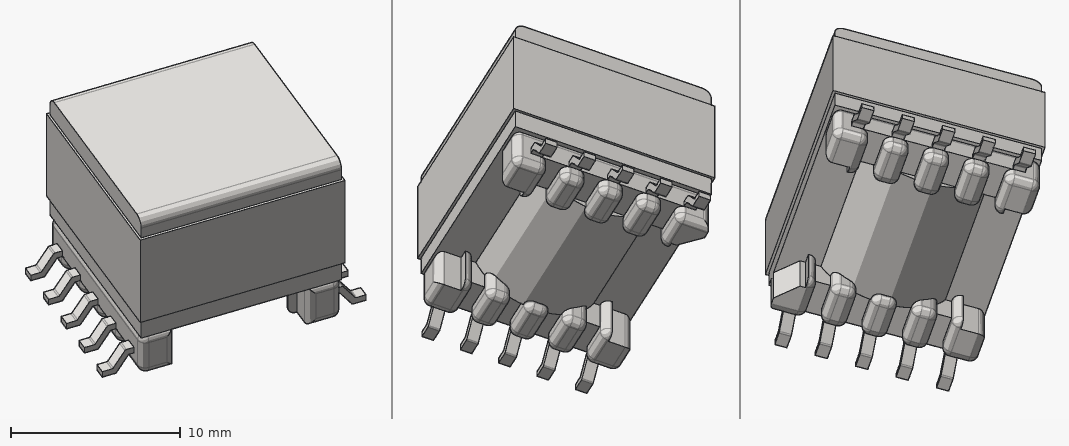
import cadquery as cq
import math

core_x = 12.78
core_y = 13.04
core_bottom = 3.0
core_top = 11.96
core_top_radius = 0.62
sleeve_x = 13.12
sleeve_y = 13.32
sleeve_height = 6.24

bar_bottom = 0.12
bar_width = 2.17
bar_radius = 0.5
slot_top = 1.13
marker_chamfer = 1.25

pin_count = 5
pin_pitch = 2.5
rib_width = 1.54
rib_length = 2.74
end_rib_side_x = 4.8

coil_radius = 4.35
coil_bottom = 0.68

lead_width = 0.75
lead_thickness = 0.42
lead_span = 17.16
lead_foot_length = 0.68
lead_slope_run = 0.83
lead_shoulder_top = 1.57
lead_bend_radius = 0.12
lead_embed = 0.5

half_x = core_x / 2
half_y = core_y / 2
lead_tip_y = lead_span / 2
bar_inner_y = half_y - bar_width
rib_inner_y = half_y - rib_length
pin_positions = [(i - (pin_count - 1) / 2) * pin_pitch for i in range(pin_count)]


def box(x0, x1, y0, y1, z0, z1):
    """Box between two opposite corners."""
    return cq.Workplane("XY").box(x1 - x0, y1 - y0, z1 - z0, centered=False).translate((x0, y0, z0))


def make_core():
    core = box(-half_x, half_x, -half_y, half_y, core_bottom, core_top)
    core = core.edges("|Y and >Z").fillet(core_top_radius)
    sleeve_bottom = (core_bottom + core_top - sleeve_height) / 2
    sleeve = box(
        -sleeve_x / 2, sleeve_x / 2, -sleeve_y / 2, sleeve_y / 2, sleeve_bottom, sleeve_bottom + sleeve_height
    )
    return core.union(sleeve)


def make_coil():
    return (
        cq.Workplane("XZ")
        .center(0, coil_bottom + coil_radius)
        .circle(coil_radius)
        .extrude(bar_inner_y, both=True)
    )


def make_rib(x):
    """Rounded rib centred at x, running under and behind the bar and trimmed flat at the end limits."""
    rib = box(x - rib_width / 2, x + rib_width / 2, -half_y, -rib_inner_y, bar_bottom, core_bottom)
    rib = rib.edges("|Z or <Z").fillet(bar_radius)
    limits = box(-end_rib_side_x, end_rib_side_x, -half_y, -rib_inner_y, bar_bottom, core_bottom)
    bar_body = box(-half_x, half_x, -half_y, -bar_inner_y, slot_top, core_bottom)
    return rib.intersect(limits).cut(bar_body)


def make_bar(marked):
    """Terminal bar with its ribs on the -Y side; a marked bar has a chamfered, sharp-edged +X end."""
    bar = box(-half_x, half_x, -half_y, -bar_inner_y, bar_bottom, core_bottom)
    if marked:
        bar = bar.edges("|Z and >X and >Y").chamfer(marker_chamfer)
        rounded_edges = "<Y or <X"
    else:
        rounded_edges = "<Y or <X or >X"
    bar = bar.edges(rounded_edges).fillet(bar_radius)

    underside = box(-end_rib_side_x, end_rib_side_x, -half_y, -bar_inner_y, bar_bottom, slot_top)
    bar = bar.cut(underside)
    for x in pin_positions:
        bar = bar.union(make_rib(x))
    return bar


def make_lead(x):
    """Gull-wing lead on the -Y side: flat foot, sloping leg and shoulder running into the bar."""
    foot_bend_y = lead_tip_y - lead_foot_length
    shoulder_bend_y = foot_bend_y - lead_slope_run
    slope_angle = math.atan2(lead_shoulder_top - lead_thickness, lead_slope_run)
    miter = lead_thickness * math.tan(slope_angle / 2)
    root_y = half_y - lead_embed
    outline = [
        (-lead_tip_y, 0),
        (-lead_tip_y, lead_thickness),
        (-foot_bend_y, lead_thickness),
        (-shoulder_bend_y, lead_shoulder_top),
        (-root_y, lead_shoulder_top),
        (-root_y, lead_shoulder_top - lead_thickness),
        (-(shoulder_bend_y - miter), lead_shoulder_top - lead_thickness),
        (-(foot_bend_y - miter), 0),
    ]
    lead = cq.Workplane("YZ").polyline(outline).close().extrude(lead_width / 2, both=True)
    bends = cq.selectors.BoxSelector(
        (-lead_width, -foot_bend_y - miter, -lead_thickness),
        (lead_width, -shoulder_bend_y + 2 * miter, lead_shoulder_top + lead_thickness),
    )
    lead = lead.edges("|X").edges(bends).fillet(lead_bend_radius)
    return lead.translate((x, 0, 0))


def make_terminal_side(marked):
    side = make_bar(marked)
    for x in pin_positions:
        side = side.union(make_lead(x))
    return side


front_side = make_terminal_side(marked=False)
back_side = make_terminal_side(marked=True).rotate((0, 0, 0), (0, 0, 1), 180)
result = make_core().union(make_coil()).union(front_side).union(back_side)